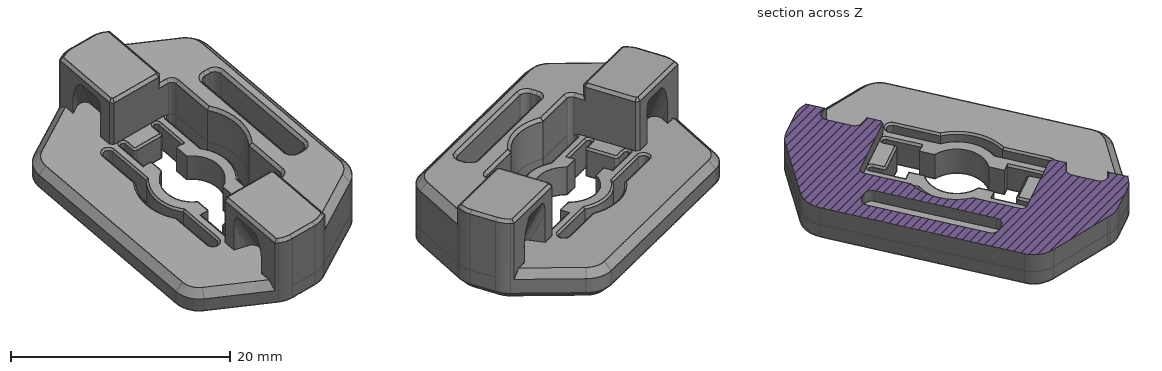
import cadquery as cq
import math

LENGTH = 32.0
WIDTH = 20.0
PLATE_TOP = 3.0
BACK_TOP = 7.15
BLOCK_TOP = 8.6

END_HALF_WIDTH = 2.05
SIDE_SLOPE = math.radians(60)
OUTLINE_RADIUS = 2.7
RIM_CHAMFER = 0.75

BLOCK_HALF_WIDTH = 2.95
BLOCK_INNER_X = 8.0
BLOCK_CHAMFER = 0.3

CAVITY_CORNER_RADIUS = 0.5
CAVITY_CHAMFER = 0.3

SLOT_WIDTH = 1.0
SLOT_OUTER_Y = 4.25
SLOT_INNER_Y = SLOT_OUTER_Y - SLOT_WIDTH
SLOT_HALF_LENGTH = BLOCK_INNER_X
BULGE_OUTER_RADIUS = 5.2
BULGE_INNER_RADIUS = BULGE_OUTER_RADIUS - SLOT_WIDTH
SLOT_CHAMFER = 0.2

HOLE_RADIUS = 3.0
ARM_WIDTH = 1.0
OPENING_HALF_WIDTH = SLOT_INNER_Y - ARM_WIDTH
OPENING_HALF_LENGTH = 7.8
OPENING_CORNER_RADIUS = 0.25
PAD_HALF_LENGTH = 4.1
PAD_INNER_Y = 1.5
TAB_HALF_WIDTH = 1.7
TAB_TIP_X = 6.25
TAB_CORNER_RADIUS = 0.3

POCKET_LENGTH = 13.2
POCKET_WIDTH = 2.0
POCKET_CENTER_Y = 7.25
POCKET_RADIUS = 0.7
POCKET_CHAMFER = 0.3
POCKET_FLOOR = PLATE_TOP

NOTCH_INNER_X = 9.6
NOTCH_OUTER_X = 13.53
NOTCH_TOP = 7.5
NOTCH_DEPTH = 2.0
NOTCH_INNER_SKEW = math.radians(15)
NOTCH_OUTER_SKEW = math.radians(30)
NOTCH_RADIUS = 0.75

OVERCUT = 1.0
LEVEL_TOLERANCE = 0.01


def box(x_min, x_max, y_min, y_max, z_min, z_max):
    size = (x_max - x_min, y_max - y_min, z_max - z_min)
    return cq.Workplane("XY").box(*size, centered=False).translate((x_min, y_min, z_min))


def outline_body(height, top_chamfer):
    """The outer outline raised to a height, chamfered at top and bottom."""
    half_length = LENGTH / 2
    half_width = WIDTH / 2
    shoulder_x = half_length - (half_width - END_HALF_WIDTH) / math.tan(SIDE_SLOPE)
    corners = [
        (half_length, -END_HALF_WIDTH),
        (half_length, END_HALF_WIDTH),
        (shoulder_x, half_width),
        (-shoulder_x, half_width),
        (-half_length, END_HALF_WIDTH),
        (-half_length, -END_HALF_WIDTH),
        (-shoulder_x, -half_width),
        (shoulder_x, -half_width),
    ]
    body = cq.Workplane("XY").polyline(corners).close().extrude(height)
    body = body.edges("|Z").fillet(OUTLINE_RADIUS)
    body = body.faces("<Z").edges().chamfer(RIM_CHAMFER)
    if top_chamfer > 0:
        body = body.faces(">Z").edges().chamfer(top_chamfer)
    return body


def prism(outline, bottom, top):
    """Raise a closed outline of straight edges from bottom to top."""
    return cq.Workplane("XY").workplane(offset=bottom).polyline(outline).close().extrude(top - bottom)


def cylinder(radius, bottom, top):
    return cq.Workplane("XY").workplane(offset=bottom).circle(radius).extrude(top - bottom)


def edges_near(half_length, y_min, y_max, level):
    """Selector for edges at one level whose centers lie in a rectangle centered in X."""
    low = (-half_length, y_min, level - LEVEL_TOLERANCE)
    high = (half_length, y_max, level + LEVEL_TOLERANCE)
    return cq.selectors.BoxSelector(low, high)


def long_slot():
    """Cutter for the +Y long slot: a round-ended slot joined to an arc around the hole."""
    middle_y = (SLOT_INNER_Y + SLOT_OUTER_Y) / 2
    straight = cq.Workplane("XY").center(0, middle_y).slot2D(2 * SLOT_HALF_LENGTH, SLOT_WIDTH)
    straight = straight.extrude(PLATE_TOP)
    reach = BULGE_OUTER_RADIUS
    bulge = cylinder(BULGE_OUTER_RADIUS, 0, PLATE_TOP)
    bulge = bulge.intersect(box(-reach, reach, SLOT_INNER_Y, reach, 0, PLATE_TOP))
    return straight.union(bulge).cut(cylinder(BULGE_INNER_RADIUS, 0, PLATE_TOP))


def central_opening():
    """Cutter for the opening between the arms, narrowed at both ends by the stop tabs."""
    x = OPENING_HALF_LENGTH
    y = OPENING_HALF_WIDTH
    opening = box(-x, x, -y, y, 0, PLATE_TOP)
    for side in (-1, 1):
        root_x = side * x
        tip_x = side * TAB_TIP_X
        stop_tab = [
            (root_x, -TAB_HALF_WIDTH),
            (root_x, TAB_HALF_WIDTH),
            (tip_x, TAB_HALF_WIDTH),
            (tip_x, -TAB_HALF_WIDTH),
        ]
        opening = opening.cut(prism(stop_tab, 0, PLATE_TOP))
    tip_edges = edges_near(TAB_TIP_X + LEVEL_TOLERANCE, -y, y, PLATE_TOP / 2)
    opening = opening.edges(tip_edges).fillet(TAB_CORNER_RADIUS)
    return opening.edges("|Z and (<X or >X)").fillet(OPENING_CORNER_RADIUS)


def gripping_pad():
    """The unchamfered pad on the inside of the +Y arm."""
    pad_root_y = OPENING_HALF_WIDTH + SLOT_CHAMFER
    return box(-PAD_HALF_LENGTH, PAD_HALF_LENGTH, PAD_INNER_Y, pad_root_y, 0, PLATE_TOP)


def plate():
    slot = long_slot()
    body = outline_body(PLATE_TOP, RIM_CHAMFER)
    body = body.cut(slot).cut(slot.mirror("XZ")).cut(central_opening())
    rim_reach = SLOT_HALF_LENGTH + SLOT_CHAMFER
    rim = edges_near(rim_reach, -BULGE_OUTER_RADIUS, BULGE_OUTER_RADIUS, PLATE_TOP)
    body = body.edges(rim).chamfer(SLOT_CHAMFER)
    pad = gripping_pad()
    body = body.union(pad).union(pad.mirror("XZ"))
    return body.cut(cylinder(HOLE_RADIUS, 0, PLATE_TOP))


def cavity():
    """Cutter for the cavity in front of the back body, wrapping around the +Y long slot."""
    straight = box(-BLOCK_INNER_X, BLOCK_INNER_X, 0, SLOT_OUTER_Y, 0, BACK_TOP)
    straight = straight.edges("|Z and >Y").fillet(CAVITY_CORNER_RADIUS)
    return straight.union(cylinder(BULGE_OUTER_RADIUS, 0, BACK_TOP))


def back_body():
    """The tall body along the +Y side, with its cavity and blind pocket."""
    front_limit = BLOCK_HALF_WIDTH - BLOCK_CHAMFER
    body = outline_body(BACK_TOP, RIM_CHAMFER)
    body = body.intersect(box(-LENGTH, LENGTH, front_limit, WIDTH, 0, BACK_TOP))
    body = body.cut(cavity())
    rim = edges_near(BLOCK_INNER_X + CAVITY_CHAMFER, 0, BULGE_OUTER_RADIUS, BACK_TOP)
    body = body.edges(rim).chamfer(CAVITY_CHAMFER)

    half_length = POCKET_LENGTH / 2
    front_y = POCKET_CENTER_Y - POCKET_WIDTH / 2
    back_y = POCKET_CENTER_Y + POCKET_WIDTH / 2
    pocket = box(-half_length, half_length, front_y, back_y, POCKET_FLOOR, BACK_TOP)
    body = body.cut(pocket.edges("|Z").fillet(POCKET_RADIUS))
    rim_reach = half_length + LEVEL_TOLERANCE
    pocket_rim = edges_near(rim_reach, front_y - LEVEL_TOLERANCE, back_y + LEVEL_TOLERANCE, BACK_TOP)
    return body.edges(pocket_rim).chamfer(POCKET_CHAMFER)


def notch():
    """Cutter for the notch in the front face of the +X block.

    Its roof starts at the block face and slopes down to the plate at full depth;
    both sides lean outward with depth.
    """
    mouth_y = -BLOCK_HALF_WIDTH
    front_y = mouth_y - OVERCUT
    back_y = mouth_y + NOTCH_DEPTH + OVERCUT

    def side_x(mouth_x, skew, y):
        return mouth_x + (y - mouth_y) * math.tan(skew)

    plan = [
        (side_x(NOTCH_INNER_X, NOTCH_INNER_SKEW, front_y), front_y),
        (side_x(NOTCH_OUTER_X, NOTCH_OUTER_SKEW, front_y), front_y),
        (side_x(NOTCH_OUTER_X, NOTCH_OUTER_SKEW, back_y), back_y),
        (side_x(NOTCH_INNER_X, NOTCH_INNER_SKEW, back_y), back_y),
    ]
    roof_slope = (NOTCH_TOP - PLATE_TOP) / NOTCH_DEPTH
    front_z = NOTCH_TOP + OVERCUT * roof_slope
    bottom = PLATE_TOP - OVERCUT * roof_slope
    profile = [(front_y, bottom), (front_y, front_z), (back_y, bottom)]
    wedge = cq.Workplane("YZ").polyline(profile).close().extrude(LENGTH)
    cutter = prism(plan, bottom, front_z).intersect(wedge)
    cutter = cutter.edges("not (|X or |Y or |Z)").edges(">Z").fillet(NOTCH_RADIUS)
    above_plate = box(0, LENGTH, -WIDTH, WIDTH, PLATE_TOP, front_z)
    return cutter.intersect(above_plate)


def end_block():
    """The block at the +X end."""
    slab = box(BLOCK_INNER_X, LENGTH, -BLOCK_HALF_WIDTH, BLOCK_HALF_WIDTH, 0, BLOCK_TOP)
    block = outline_body(BLOCK_TOP, 0).intersect(slab)
    block = block.edges("|Z and <X").chamfer(BLOCK_CHAMFER)
    block = block.faces(">Z").edges().chamfer(BLOCK_CHAMFER)
    return block.cut(notch())


block = end_block()
result = plate().union(back_body()).union(block).union(block.mirror("YZ")).clean()